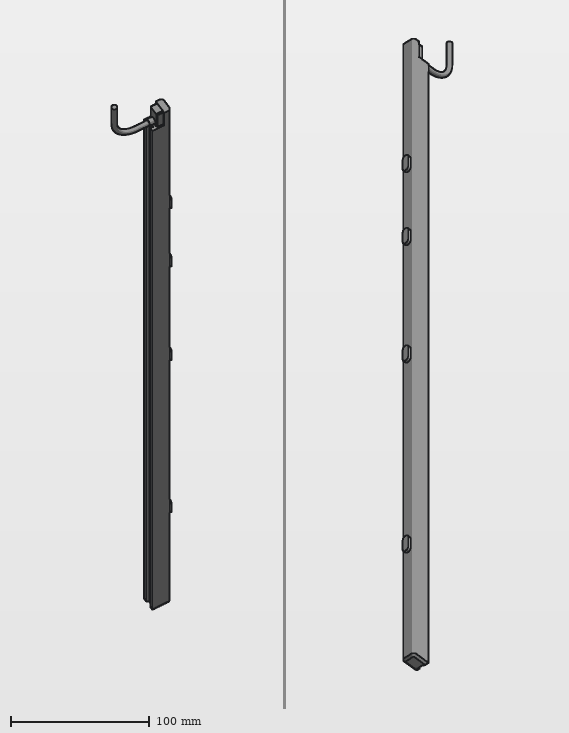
import cadquery as cq
import math

RAIL_WIDTH = 12.0
RAIL_DEPTH = 16.0
BACK_RADIUS = 2.5
RAIL_HEIGHT = 603.5
FOOT_CHAMFER = 2.0

GROOVE_WIDTH = 5.5
GROOVE_DEPTH = 2.5
HOLE_DIAMETER = 3.0
HOLE_DEPTH = 10.0
HOLE_HEIGHT = 582.5

NOTCH_DEPTH = 10.0
NOTCH_HEIGHT = 15.0
NOTCH_FLOOR = RAIL_HEIGHT - NOTCH_HEIGHT

PAD_WIDTH = 5.5
PAD_LENGTH = 14.5
PAD_BACK = 18.0
PAD_HEIGHTS = (110.5, 296.5, 411.5, 483.0)

SEAT_WIDTH = 9.5
SEAT_THICKNESS = 5.5
SEAT_FRONT = NOTCH_DEPTH - SEAT_THICKNESS
SEAT_CHAMFER = 0.95
HUB_DIAMETER = 5.5
ROD_DIAMETER = 4.5
ROD_AXIS_HEIGHT = 591.5
ROD_TIP_HEIGHT = 631.0
ROD_REACH = 31.0
BEND_RADIUS = 19.0


def make_blank():
    """Full-height bar with rounded back corners and a chamfered foot."""
    bar = cq.Workplane("XY").box(RAIL_WIDTH, RAIL_DEPTH, RAIL_HEIGHT, centered=(True, False, False))
    bar = bar.edges("|Z and >Y").fillet(BACK_RADIUS)
    return bar.faces("<Z").edges("<X or >X or <Y").chamfer(FOOT_CHAMFER)


def make_pad(height):
    """Upright pad with rounded ends, standing on the back of the rail."""
    return (
        cq.Workplane("XZ", origin=(0, PAD_BACK, height))
        .slot2D(PAD_LENGTH, PAD_WIDTH, angle=90)
        .extrude(PAD_BACK - RAIL_DEPTH)
    )


def make_rail():
    """Bar with its groove, notch and hole cut out, and the pads standing on its back."""
    rail = make_blank()
    groove = cq.Workplane("XY").box(GROOVE_WIDTH, GROOVE_DEPTH, RAIL_HEIGHT, centered=(True, False, False))
    notch = (
        cq.Workplane("XY", origin=(0, 0, NOTCH_FLOOR))
        .box(RAIL_WIDTH, NOTCH_DEPTH, NOTCH_HEIGHT, centered=(True, False, False))
    )
    hole = (
        cq.Workplane("XZ", origin=(0, 0, HOLE_HEIGHT))
        .circle(HOLE_DIAMETER / 2)
        .extrude(-HOLE_DEPTH)
    )
    rail = rail.cut(groove).cut(notch).cut(hole)
    for height in PAD_HEIGHTS:
        rail = rail.union(make_pad(height))
    return rail


def make_seat():
    """Block that stands on the notch floor against the notch wall."""
    seat = (
        cq.Workplane("XY", origin=(0, SEAT_FRONT, NOTCH_FLOOR))
        .box(SEAT_WIDTH, SEAT_THICKNESS, NOTCH_HEIGHT, centered=(True, False, False))
    )
    return seat.edges("(|Z and <Y) or (|Y and >Z)").chamfer(SEAT_CHAMFER)


def make_rod():
    """Round rod going forward from the seat, then bent upright."""
    upright_y = ROD_DIAMETER / 2 - ROD_REACH
    bend_start_y = upright_y + BEND_RADIUS
    bend_end_z = ROD_AXIS_HEIGHT + BEND_RADIUS
    bend_offset = BEND_RADIUS * math.sqrt(0.5)
    path = (
        cq.Workplane("YZ")
        .moveTo(SEAT_FRONT, ROD_AXIS_HEIGHT)
        .lineTo(bend_start_y, ROD_AXIS_HEIGHT)
        .threePointArc(
            (bend_start_y - bend_offset, bend_end_z - bend_offset),
            (upright_y, bend_end_z),
        )
        .lineTo(upright_y, ROD_TIP_HEIGHT)
    )
    return (
        cq.Workplane("XZ", origin=(0, SEAT_FRONT, ROD_AXIS_HEIGHT))
        .circle(ROD_DIAMETER / 2)
        .sweep(path)
    )


def make_hook():
    """Seat, hub and bent rod joined into one piece."""
    hub = (
        cq.Workplane("XZ", origin=(0, SEAT_FRONT, ROD_AXIS_HEIGHT))
        .circle(HUB_DIAMETER / 2)
        .extrude(SEAT_FRONT)
    )
    return make_seat().union(hub).union(make_rod())


rail = make_rail()
hook = make_hook()

result = cq.Compound.makeCompound([rail.val(), hook.val()])